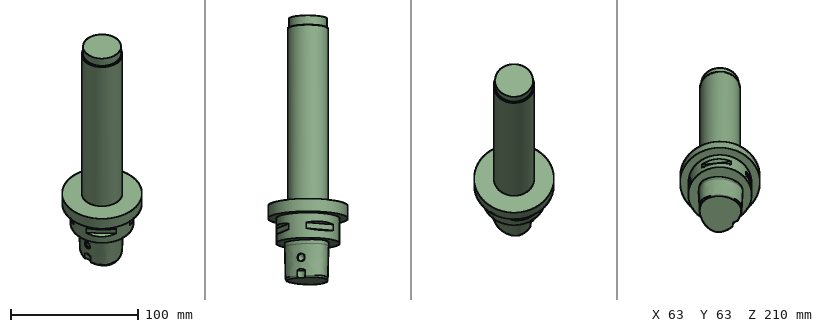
import cadquery as cq
import math

total_height = 210.0
shank_height = 30.0
collar_top = 50.0
flange_top = 60.0
tip_height = 7.4
shoulder_drop = 0.6

collar_diameter = 50.0
flange_diameter = 63.0
bar_diameter = 32.1
tip_diameter = 30.0

shank_radius = 17.5
lobe_height = 1.2
taper_per_side = 1 / 40
taper_top = 27.0
lead_in_height = 1.7
lead_in_depth = 0.6
lead_in_lobe_height = 0.8
outline_points = 48

slot_count = 4
slot_first_angle = 45.0
slot_floor_radius = 22.0
slot_floor_height = 4.6
slot_center_z = 40.0
slot_flare = 1.3

cross_hole_diameter = 6.0
cross_hole_z = 16.2
cross_hole_cone_height = 1.7
cross_hole_depth = 3.0
notch_radius = 4.2
notch_center_y = -18.0
notch_wall_height = 5.7
notch_cone_height = 3.4


def lobed_point(angle, radius, lobe):
    """Point on a constant-width curve with three lobes, one of them toward +Y."""
    reach = radius + lobe * math.cos(3 * angle)
    slide = -3 * lobe * math.sin(3 * angle)
    x = reach * math.sin(angle) + slide * math.cos(angle)
    y = reach * math.cos(angle) - slide * math.sin(angle)
    return x, y


def lobed_wire(z, radius, lobe):
    angles = [2 * math.pi * i / outline_points for i in range(outline_points)]
    points = [lobed_point(angle, radius, lobe) for angle in angles]
    return cq.Workplane("XY", origin=(0, 0, z)).spline(points, periodic=True).wire().val()


def lobed_section(lower, upper):
    return cq.Workplane("XY").newObject([cq.Solid.makeLoft([lower, upper], True)])


def disc(bottom, top, diameter):
    return cq.Workplane("XY", origin=(0, 0, bottom)).circle(diameter / 2).extrude(top - bottom)


def make_shank():
    lead_in_radius = shank_radius - taper_per_side * (taper_top - lead_in_height)
    bottom = lobed_wire(0, lead_in_radius - lead_in_depth, lead_in_lobe_height)
    taper_start = lobed_wire(lead_in_height, lead_in_radius, lobe_height)
    taper_end = lobed_wire(taper_top, shank_radius, lobe_height)
    neck_end = lobed_wire(shank_height, shank_radius, lobe_height)
    shank = lobed_section(bottom, taper_start)
    shank = shank.union(lobed_section(taper_start, taper_end))
    return shank.union(lobed_section(taper_end, neck_end))


def make_slot_cutter():
    """Trapezoid with a flat floor, flaring out to the collar surface."""
    collar_radius = collar_diameter / 2
    floor_half = slot_floor_height / 2
    mouth_half = floor_half + slot_flare
    return (
        cq.Workplane("XZ")
        .moveTo(slot_floor_radius, slot_center_z - floor_half)
        .lineTo(collar_radius, slot_center_z - mouth_half)
        .lineTo(collar_radius, slot_center_z + mouth_half)
        .lineTo(slot_floor_radius, slot_center_z + floor_half)
        .close()
        .extrude(collar_radius, both=True)
    )


def drill(radius, wall_height, cone_height):
    """Drilled hole along +Z from the origin, ending in a cone."""
    return (
        cq.Workplane("XZ")
        .polyline([
            (0, 0),
            (radius, 0),
            (radius, wall_height),
            (0, wall_height + cone_height),
        ])
        .close()
        .revolve(360, (0, 0), (0, 1))
    )


def make_cross_hole():
    """Blind hole into the shank along +Y."""
    hole = drill(cross_hole_diameter / 2, cross_hole_depth, cross_hole_cone_height)
    return hole.rotate((0, 0, 0), (1, 0, 0), -90).translate((0, -shank_radius, cross_hole_z))


def make_notch():
    """Upright drilled pocket, open through the shank wall."""
    return drill(notch_radius, notch_wall_height, notch_cone_height).translate((0, notch_center_y, 0))


bar_top = total_height - tip_height
body = make_shank()
body = body.union(disc(shank_height, collar_top, collar_diameter))
body = body.union(disc(collar_top, flange_top, flange_diameter))
shoulder_width = (bar_diameter - tip_diameter) / 2
bar = disc(flange_top, bar_top, bar_diameter)
bar = bar.faces(">Z").edges().chamfer(shoulder_drop, shoulder_width)
body = body.union(bar)
body = body.union(disc(bar_top, total_height, tip_diameter))

slot_cutter = make_slot_cutter()
for index in range(slot_count):
    angle = slot_first_angle + index * 360 / slot_count
    body = body.cut(slot_cutter.rotate((0, 0, 0), (0, 0, 1), angle))

result = body.cut(make_cross_hole()).cut(make_notch())